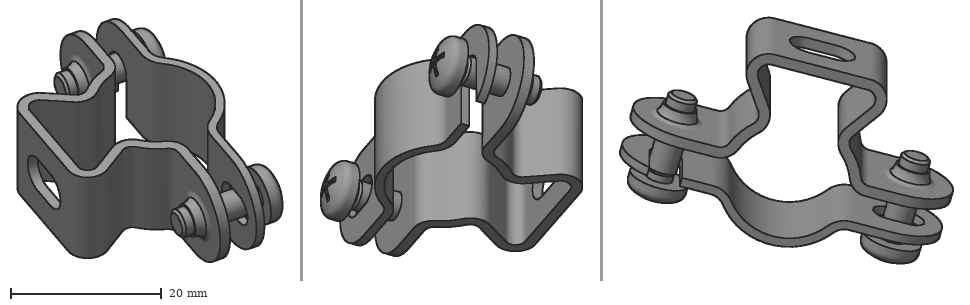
import cadquery as cq
import math


length = 44.0
width = 14.0
screw_pitch = 32.05
shank_diameter = 4.0

foot_thickness = 1.5
foot_flange_top = 16.05
foot_mid_radius = 2.2
flange_bend_radius = 2.2
seat_radius = 8.95
seat_center_y = 17.1
seat_end_angle = 44.0
foot_half_flat = 6.6
mount_slot_length = 8.98
mount_slot_height = 5.45

top_thickness = 1.25
top_flange_bottom = 20.0
top_rise = 4.75
top_arch_radius = 8.9
top_bend_radius = 3.05
screw_clearance_width = 4.5
long_hole_length = 7.05

tip_y = 11.2
tip_chamfer = 0.4
neck_diameter = 3.6
neck_start_y = 21.9
neck_taper = 0.4
head_bottom_y = 23.3
head_diameter = 8.0
head_top_y = 26.3
dome_radius = 6.9
head_fillet = 1.2
cross_width = 0.6
cross_depth = 0.35

collar_root_radius = 3.55
collar_lip_radius = 3.12
collar_lip_drop = 0.15
collar_ring_radius = 2.75
collar_ring_drop = 0.35
collar_flank_radius = 2.45
collar_flank_drop = 0.95
collar_end_radius = 2.3
collar_height = 1.7


def step(point, distance, heading):
    """Point reached by moving a distance along a heading in degrees."""
    angle = math.radians(heading)
    return (point[0] + distance * math.cos(angle), point[1] + distance * math.sin(angle))


def draw_face(sketch, start, heading, segments, offset):
    """Draw one face of a bent strip, offset to the left of its mid line.

    A segment is (length, 0) for a straight, or (mid radius, turn) for a bend, a left turn being positive.
    """
    point = start
    sketch = sketch.lineTo(*step(point, offset, heading + 90))
    for size, turn in segments:
        if turn == 0:
            point = step(point, size, heading)
            sketch = sketch.lineTo(*step(point, offset, heading + 90))
        else:
            side = math.copysign(90, turn)
            center = step(point, size, heading + side)
            face_radius = size - math.copysign(offset, turn)
            middle = step(center, face_radius, heading + turn / 2 - side)
            heading += turn
            point = step(center, size, heading - side)
            sketch = sketch.threePointArc(middle, step(center, face_radius, heading - side))
    return sketch


def bent_strap(half_segments, flange_mid_y, thickness):
    """Strap symmetric about X = 0, bent along its mid line, with ends rounded to the full width."""
    segments = half_segments + half_segments[::-1]
    mirrored = [(size, -turn) for size, turn in segments]
    half = thickness / 2
    sketch = cq.Workplane("XY").moveTo(-length / 2, flange_mid_y)
    sketch = draw_face(sketch, (-length / 2, flange_mid_y), 0, segments, half)
    sketch = draw_face(sketch, (length / 2, flange_mid_y), 180, mirrored, half)
    strap = sketch.close().extrude(width / 2, both=True)
    rounded_ends = cq.Workplane("XZ").slot2D(length, width).extrude(length, both=True)
    return strap.intersect(rounded_ends)


def foot_half_segments(flange_mid_y):
    """Left half of the foot strap: flange, pipe seat, neck and foot corner, tangent to each other."""
    seat_reach = seat_radius + flange_bend_radius
    seat_depth = seat_center_y - flange_mid_y + flange_bend_radius
    seat_start_angle = math.degrees(math.acos(seat_depth / seat_reach))
    flange_length = length / 2 - seat_reach * math.sin(math.radians(seat_start_angle))

    neck_center = step((0, seat_center_y), seat_radius + foot_mid_radius, -90 - seat_end_angle)
    corner_center = (-foot_half_flat, foot_thickness / 2 + foot_mid_radius)
    across = corner_center[0] - neck_center[0]
    down = neck_center[1] - corner_center[1]
    distance = math.hypot(across, down)
    leg_length = math.sqrt(distance**2 - (2 * foot_mid_radius) ** 2)
    leg_tilt = math.degrees(math.asin(2 * foot_mid_radius / distance) - math.atan2(across, down))

    return [
        (flange_length, 0),
        (flange_bend_radius, -seat_start_angle),
        (seat_radius, seat_start_angle - seat_end_angle),
        (foot_mid_radius, seat_end_angle - 90 - leg_tilt),
        (leg_length, 0),
        (foot_mid_radius, 90 + leg_tilt),
        (foot_half_flat, 0),
    ]


def collar(x):
    """Flared ring that narrows from the flange towards the screw tip, revolved about the screw axis."""
    root_y = foot_flange_top - foot_thickness
    ring_y = root_y - collar_ring_drop
    end_y = root_y - collar_height
    return (
        cq.Workplane("XY", origin=(x, 0, 0))
        .moveTo(0, foot_flange_top)
        .lineTo(collar_root_radius, foot_flange_top)
        .lineTo(collar_root_radius, root_y)
        .threePointArc((collar_lip_radius, root_y - collar_lip_drop), (collar_ring_radius, ring_y))
        .threePointArc((collar_flank_radius, root_y - collar_flank_drop), (collar_end_radius, end_y))
        .lineTo(0, end_y)
        .close()
        .revolve(360, (0, 0), (0, 1))
    )


def rod(x, diameter, start_y, end_y):
    """Cylinder along Y at the given X."""
    return cq.Workplane("XZ", origin=(x, start_y, 0)).circle(diameter / 2).extrude(start_y - end_y)


def screw_head(x):
    """Domed head with a rounded shoulder and a shallow cross recess."""
    rim_radius = head_diameter / 2
    shoulder_x = rim_radius - head_fillet
    dome_center = (0, head_top_y - dome_radius)
    shoulder_angle = math.degrees(math.acos(shoulder_x / (dome_radius - head_fillet)))
    shoulder_center = step(dome_center, dome_radius - head_fillet, shoulder_angle)
    head = (
        cq.Workplane("XY", origin=(x, 0, 0))
        .moveTo(0, head_bottom_y)
        .lineTo(rim_radius, head_bottom_y)
        .lineTo(rim_radius, shoulder_center[1])
        .threePointArc(
            step(shoulder_center, head_fillet, shoulder_angle / 2),
            step(shoulder_center, head_fillet, shoulder_angle),
        )
        .threePointArc(step(dome_center, dome_radius, (shoulder_angle + 90) / 2), (0, head_top_y))
        .close()
        .revolve(360, (0, 0), (0, 1))
    )
    for size_x, size_z in ((head_diameter, cross_width), (cross_width, head_diameter)):
        arm = cq.Workplane("XY", origin=(x, head_top_y, 0)).box(size_x, 2 * cross_depth, size_z)
        head = head.cut(arm)
    return head


def screw(x):
    """Complete screw: chamfered shank, tapered step, neck and head."""
    shank = rod(x, shank_diameter, tip_y, neck_start_y).faces("<Y").chamfer(tip_chamfer)
    taper = (
        cq.Workplane("XZ", origin=(x, neck_start_y, 0))
        .circle(shank_diameter / 2)
        .workplane(offset=-neck_taper)
        .circle(neck_diameter / 2)
        .loft()
    )
    neck = rod(x, neck_diameter, neck_start_y + neck_taper, head_bottom_y)
    return shank.union(taper).union(neck).union(screw_head(x))


def build_foot_strap():
    """Foot strap with its mounting slot, collars and the two screws fixed in it."""
    flange_mid_y = foot_flange_top - foot_thickness / 2
    strap = bent_strap(foot_half_segments(flange_mid_y), flange_mid_y, foot_thickness)
    mount_slot = cq.Workplane("XZ").slot2D(mount_slot_length, mount_slot_height).extrude(-foot_thickness)
    strap = strap.cut(mount_slot)
    for x in (-screw_pitch / 2, screw_pitch / 2):
        strap = strap.union(collar(x)).union(screw(x))
    return strap


def build_top_strap():
    """Arched top strap with a slot open downwards at the left screw and a long hole at the right one."""
    reach = top_arch_radius + top_bend_radius
    arch_angle = math.degrees(math.acos(1 - top_rise / reach))
    half_segments = [
        (length / 2 - reach * math.sin(math.radians(arch_angle)), 0),
        (top_bend_radius, arch_angle),
        (top_arch_radius, -arch_angle),
    ]
    strap = bent_strap(half_segments, top_flange_bottom + top_thickness / 2, top_thickness)

    flange_top = top_flange_bottom + top_thickness
    strap = strap.cut(rod(-screw_pitch / 2, screw_clearance_width, top_flange_bottom, flange_top))
    slot_mouth = cq.Workplane("XY", origin=(-screw_pitch / 2, top_flange_bottom, -width)).box(
        screw_clearance_width, top_thickness, width, centered=(True, False, False)
    )
    strap = strap.cut(slot_mouth)
    long_hole = (
        cq.Workplane("XZ", origin=(screw_pitch / 2, top_flange_bottom, 0))
        .slot2D(long_hole_length, screw_clearance_width)
        .extrude(-top_thickness)
    )
    return strap.cut(long_hole)


foot_strap = build_foot_strap()
top_strap = build_top_strap()

result = cq.Compound.makeCompound([foot_strap.solids().val(), top_strap.solids().val()])